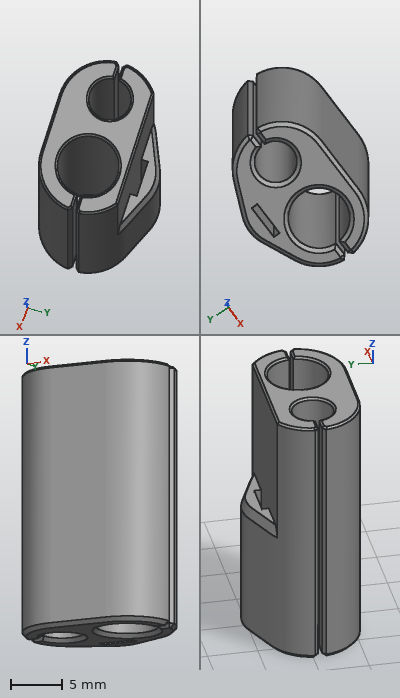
import cadquery as cq
import math

height = 26.0
side_radius = 4.8
side_offset = 3.0
flat_y = 3.9
top_chamfer = 0.2
bottom_chamfer = 0.42

pad_height = 14.0
pad_top_y = 6.2
crown_radius = 4.1
bevel_height = 1.0
bevel_depth = 0.42
crown_center_y = pad_top_y - crown_radius

window_width = 3.6
window_depth = 0.68

small_bore_radius = 2.05
small_bore_x = -4.0
large_bore_radius = 3.0
large_bore_x = side_offset
slit_width = 0.4
slit_chamfer = 0.4

center_distance = math.hypot(side_offset, crown_center_y)
slope_angle = (math.atan2(crown_center_y, side_offset)
               - math.asin((side_radius - crown_radius) / center_distance))
half_width = side_offset + side_radius


def slope_tangent_point(center_x, center_y, radius):
    """Point on a circle where the right-hand slope touches it."""
    return (center_x + radius * math.sin(slope_angle),
            center_y + radius * math.cos(slope_angle))


def mirrored(point):
    return (-point[0], point[1])


def outline(z):
    """Flat-fronted outline with rounded sides and a crowned back."""
    side_end = slope_tangent_point(side_offset, 0, side_radius)
    crown_end = slope_tangent_point(0, crown_center_y, crown_radius)
    return (
        cq.Workplane("XY", origin=(0, 0, z))
        .moveTo(-side_offset, -side_radius)
        .lineTo(side_offset, -side_radius)
        .threePointArc((half_width, 0), side_end)
        .lineTo(*crown_end)
        .threePointArc((0, pad_top_y), mirrored(crown_end))
        .lineTo(*mirrored(side_end))
        .threePointArc((-half_width, 0), (-side_offset, -side_radius))
        .close()
    )


def lower_block():
    """Full outline up to the pad top, with a steep bevel above."""
    bevel_start = pad_height - bevel_height
    taper = math.degrees(math.atan(bevel_depth / bevel_height))
    block = outline(0).extrude(bevel_start)
    return block.union(outline(bevel_start).extrude(bevel_height, taper=taper))


def body_column():
    """Full-height body, cut off flat at the back."""
    column = outline(0).extrude(height)
    front_space = cq.Workplane("XY").box(
        2 * half_width, side_radius + flat_y, height, centered=(True, False, False)
    ).translate((0, -side_radius, 0))
    return column.intersect(front_space)


def bore(x, radius):
    return cq.Workplane("XY").center(x, 0).circle(radius).extrude(height)


def slit(x, side):
    """Slit from a bore to the outside, flared at its mouth."""
    half_slit = slit_width / 2
    outer_x = side * half_width
    flare_x = side * (half_width - slit_chamfer)
    half_mouth = half_slit + slit_chamfer
    return (
        cq.Workplane("XY")
        .polyline([
            (x, -half_slit),
            (flare_x, -half_slit),
            (outer_x, -half_mouth),
            (outer_x, half_mouth),
            (flare_x, half_slit),
            (x, half_slit),
        ])
        .close()
        .extrude(height)
    )


def window():
    return cq.Workplane("XY").box(
        window_width, window_depth, pad_height, centered=(True, False, False)
    ).translate((0, flat_y, 0))


result = lower_block().union(body_column())
for bore_x, bore_radius, side in (
    (small_bore_x, small_bore_radius, -1),
    (large_bore_x, large_bore_radius, 1),
):
    result = result.cut(bore(bore_x, bore_radius)).cut(slit(bore_x, side))
result = result.faces(">Z").chamfer(top_chamfer)
result = result.faces("<Z").chamfer(bottom_chamfer)
result = result.cut(window())